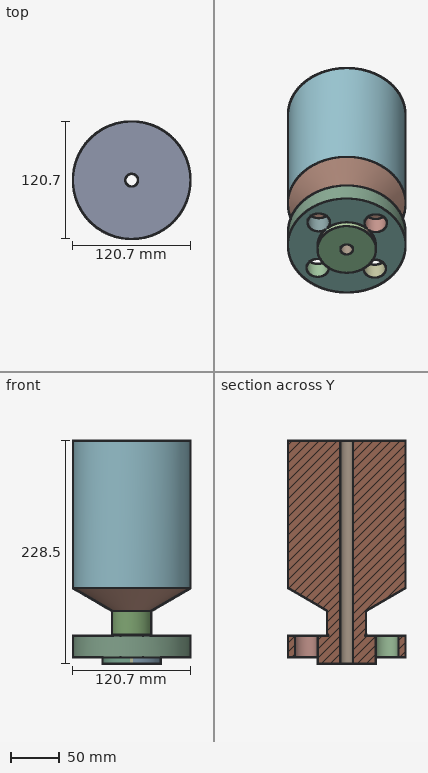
import cadquery as cq

total_height = 228.5
body_diameter = 120.7
flange_diameter = body_diameter
neck_diameter = 40.5
spigot_diameter = 60.0

spigot_height = 6.6
flange_thickness = 22.2
neck_length = 25.4
cone_height = 23.3
neck_chamfer = 1.4

bore_diameter = 12.8

bolt_hole_count = 4
bolt_hole_diameter = 22.9
bolt_circle_diameter = 82.5

flange_bottom = spigot_height
neck_bottom = flange_bottom + flange_thickness
cone_bottom = neck_bottom + neck_length
body_bottom = cone_bottom + cone_height


def turned_profile():
    """Revolve the outer half-section about the Z axis."""
    spigot_radius = spigot_diameter / 2
    flange_radius = flange_diameter / 2
    neck_radius = neck_diameter / 2
    body_radius = body_diameter / 2
    half_section = [
        (0, 0),
        (spigot_radius, 0),
        (spigot_radius, flange_bottom),
        (flange_radius, flange_bottom),
        (flange_radius, neck_bottom),
        (neck_radius - neck_chamfer, neck_bottom),
        (neck_radius, neck_bottom + neck_chamfer),
        (neck_radius, cone_bottom),
        (body_radius, body_bottom),
        (body_radius, total_height),
        (0, total_height),
    ]
    return cq.Workplane("XZ").polyline(half_section).close().revolve(360, (0, 0), (0, 1))


def center_bore():
    """Cylinder that clears the full height of the part."""
    return cq.Workplane("XY").circle(bore_diameter / 2).extrude(total_height)


def bolt_holes():
    """Flange holes on the X and Y axes; each just nicks the spigot rim."""
    return (
        cq.Workplane("XY")
        .polarArray(bolt_circle_diameter / 2, 0, 360, bolt_hole_count)
        .circle(bolt_hole_diameter / 2)
        .extrude(neck_bottom)
    )


result = turned_profile().cut(center_bore()).cut(bolt_holes())